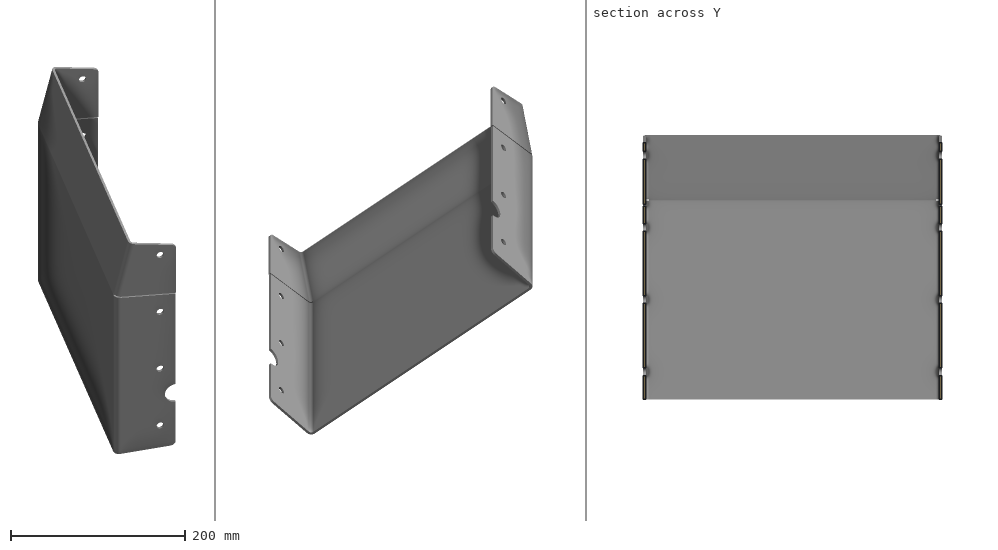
import cadquery as cq
import math


width = 342.37
height = 303.19
sheet = 3.0
bend_radius = 6.5

lean_angle = 13.0
fold_height = 227.9
lean = math.radians(lean_angle)
fold_rise = bend_radius * math.sin(lean)
leaning_length = (height - fold_height - fold_rise) / math.cos(lean)

lower_depth = 72.4
upper_depth = 73.05
corner_radius = 6.0
mitre_gap = 1.5
mitre_slope = math.tan(lean / 2)

hole_diameter = 8.4
hole_depth = 54.0
first_hole_height = 31.7
hole_pitch = 82.7
hole_count = 4
notch_radius = 12.7
notch_height = 75.6

untrimmed_depth = 2 * upper_depth


def channel(length):
    """Upright U-shaped channel, closed at the front and open at the rear."""
    outer = cq.Workplane("XY").rect(width, 2 * untrimmed_depth).extrude(length)
    outer = outer.translate((0, untrimmed_depth, 0)).edges("|Z and <Y").fillet(bend_radius)
    inner = cq.Workplane("XY").rect(width - 2 * sheet, 2 * untrimmed_depth).extrude(length)
    inner = inner.translate((0, untrimmed_depth + sheet, 0))
    inner = inner.edges("|Z and <Y").fillet(bend_radius - sheet)
    return outer.cut(inner)


def across_width(outline):
    """Extrude a YZ outline through the full width of the part."""
    return outline.extrude(width, both=True)


def lean_back(body):
    """Turn a body standing at the fold height back about the fold axis."""
    axis_start = (0, bend_radius, fold_height)
    axis_end = (1, bend_radius, fold_height)
    return body.rotate(axis_start, axis_end, -lean_angle)


def mitre_drop(depth):
    """How far the mitre line has fallen below the fold axis at a given depth."""
    return (depth - bend_radius) * mitre_slope


def lower_section():
    """Vertical panel with its flanges, trimmed below the mitre line."""
    rear_top = fold_height - mitre_gap / 2 - mitre_drop(lower_depth)
    side = across_width(
        cq.Workplane("YZ")
        .polyline([
            (0, 0),
            (lower_depth, 0),
            (lower_depth, rear_top),
            (bend_radius, fold_height - mitre_gap / 2),
            (bend_radius, fold_height),
            (0, fold_height),
        ])
        .close()
    )
    side = side.edges("|X and >Y and <Z").fillet(corner_radius)
    return channel(fold_height).intersect(side)


def corner_reliefs():
    """Blocks that free the lower ends of the leaning side bends from the fold."""
    corners = [(-width / 2, 0), (width / 2, 0)]
    blocks = (
        cq.Workplane("XY", origin=(0, 0, fold_height))
        .pushPoints(corners)
        .rect(2 * bend_radius, 2 * bend_radius)
        .extrude(mitre_gap / 2)
    )
    return lean_back(blocks)


def upper_section():
    """Leaning panel with its flanges, trimmed above the mitre line and at the rear."""
    body = lean_back(channel(leaning_length).translate((0, 0, fold_height)))
    body = body.cut(corner_reliefs())

    top_front_y = bend_radius * (1 - math.cos(lean)) + leaning_length * math.sin(lean)
    rear_top = height - (upper_depth - top_front_y) * math.tan(lean)
    rear_bottom = fold_height + mitre_gap / 2 - mitre_drop(upper_depth)
    side = across_width(
        cq.Workplane("YZ")
        .polyline([
            (0, fold_height + mitre_gap / 2),
            (bend_radius, fold_height + mitre_gap / 2),
            (upper_depth, rear_bottom),
            (upper_depth, rear_top),
            (top_front_y, height),
            (0, height),
        ])
        .close()
    )
    rear_top_corner = cq.selectors.NearestToPointSelector((0, upper_depth, rear_top))
    side = side.edges(rear_top_corner).fillet(corner_radius)
    return body.intersect(side)


def fold():
    """Curved strip joining the two panels between the side bends."""
    strip_width = width - 2 * bend_radius
    return (
        cq.Workplane("XY", origin=(0, 0, fold_height))
        .center(0, sheet / 2)
        .rect(strip_width, sheet)
        .revolve(lean_angle, (1, bend_radius - sheet / 2), (0, bend_radius - sheet / 2))
    )


def mounting_holes():
    """Column of holes through both flanges."""
    centres = [(hole_depth, first_hole_height + i * hole_pitch) for i in range(hole_count)]
    return across_width(cq.Workplane("YZ").pushPoints(centres).circle(hole_diameter / 2))


def rear_notch():
    """Half-round notch in the rear edge of both lower flanges."""
    return across_width(
        cq.Workplane("YZ").center(lower_depth, notch_height).circle(notch_radius)
    )


result = lower_section().union(fold()).union(upper_section())
result = result.cut(mounting_holes()).cut(rear_notch())